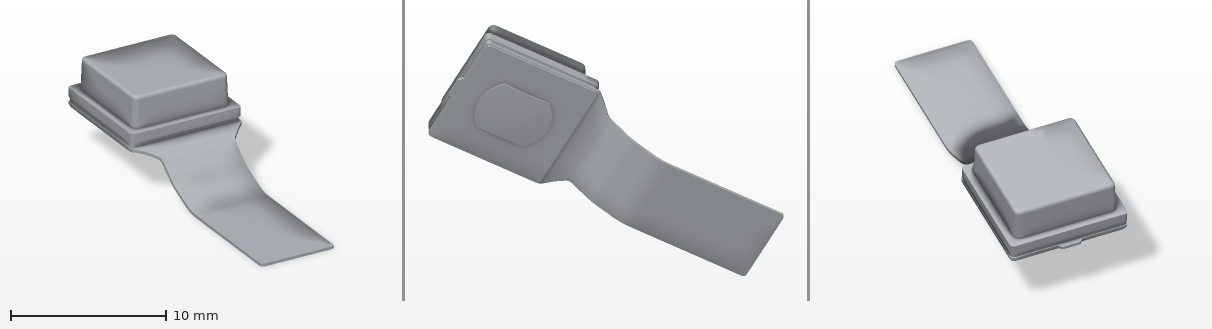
import cadquery as cq
import math


overall_height = 6.07
flex_thickness = 0.2
plate_top = 2.6
plate_thickness = 0.14
flex_top = plate_top + flex_thickness
neck_height = 0.35
flange_bottom = flex_top + neck_height
flange_thickness = 0.68
flange_top = flange_bottom + flange_thickness

flange_length = 8.25
flange_width = 8.2
flange_offset = 0.02
corner_radius = 0.27
neck_size = 8.07
key_base_size = 7.2
key_base_radius = 0.48
key_taper = 2.4
key_top_fillet = 0.25

pad_left = flange_offset - flange_length / 2
pad_right = flange_offset + flange_length / 2
tab_length = 0.27
tab_base_width = 1.75
tail_width = 5.45
tail_corner_radius = 0.27
shoulder_fillet = 0.5
overall_length = 22.75
tab_tip = pad_left - tab_length
tail_end = tab_tip + overall_length

steep_angle = 39.0
shallow_angle = 23.5
first_bend_radius = 2.65
later_bend_radius = 3.0
shallow_length = 1.35

dome_diameter = 5.0
dome_width = 3.77
dome_thickness = 0.08
dome_rise = 0.148


def make_button():
    """Neck, flange and tapered key with rounded edges."""
    neck = (
        cq.Workplane("XY", origin=(0, 0, flex_top))
        .rect(neck_size, neck_size)
        .extrude(neck_height)
        .edges("|Z")
        .fillet(corner_radius)
    )
    flange = (
        cq.Workplane("XY", origin=(flange_offset, 0, flange_bottom))
        .rect(flange_length, flange_width)
        .extrude(flange_thickness)
        .edges("|Z")
        .fillet(corner_radius)
    )
    key_outline = cq.Sketch().rect(key_base_size, key_base_size).vertices().fillet(key_base_radius)
    key = (
        cq.Workplane("XY", origin=(0, 0, flange_top))
        .placeSketch(key_outline)
        .extrude(overall_height - flange_top, taper=key_taper)
        .faces(">Z")
        .edges()
        .fillet(key_top_fillet)
    )
    return neck.union(flange).union(key)


def bend_step(radius, start_angle, end_angle):
    """Run and drop along an arc whose downward angle changes from start to end, in degrees."""
    start = math.radians(start_angle)
    end = math.radians(end_angle)
    run = radius * abs(math.sin(end) - math.sin(start))
    drop = radius * abs(math.cos(end) - math.cos(start))
    return run, drop


def slope_step(length, angle):
    """Run and drop along a straight stretch that points down by an angle in degrees."""
    return length * math.cos(math.radians(angle)), length * math.sin(math.radians(angle))


def flex_stations():
    """Middle-surface points (x, z, downward angle): line ends, with each arc as middle and end."""
    bends = [
        (first_bend_radius, 0, steep_angle),
        (later_bend_radius, steep_angle, shallow_angle),
        (later_bend_radius, shallow_angle, 0),
    ]
    bend_drops = sum(bend_step(*bend)[1] for bend in bends)
    shallow_drop = slope_step(shallow_length, shallow_angle)[1]
    steep_drop = plate_top - bend_drops - shallow_drop
    steep_length = steep_drop / math.sin(math.radians(steep_angle))
    lengths_before_bends = [pad_right - tab_tip, steep_length, shallow_length]

    x = tab_tip
    z = flex_top - flex_thickness / 2
    stations = [(x, z, 0)]
    for length, (radius, start_angle, end_angle) in zip(lengths_before_bends, bends):
        run, drop = slope_step(length, start_angle)
        x += run
        z -= drop
        stations.append((x, z, start_angle))
        middle_angle = (start_angle + end_angle) / 2
        for from_angle, to_angle in [(start_angle, middle_angle), (middle_angle, end_angle)]:
            run, drop = bend_step(radius, from_angle, to_angle)
            x += run
            z -= drop
            stations.append((x, z, to_angle))
    stations.append((tail_end, z, 0))
    return stations


def flex_surface(stations, offset):
    """Points of the middle surface moved along its normal."""
    points = []
    for x, z, angle in stations:
        tilt = math.radians(angle)
        points.append((x + offset * math.sin(tilt), z + offset * math.cos(tilt)))
    return points


def trace_surface(profile, points):
    """Draw line, arc, line, arc, ... line through one side of the flex."""
    for index in range(1, len(points) - 1, 3):
        line_end, arc_middle, arc_end = points[index : index + 3]
        profile = profile.lineTo(*line_end).threePointArc(arc_middle, arc_end)
    return profile.lineTo(*points[-1])


def flex_outline():
    """Flat outline of the flex as a tall block: pad, tapered shoulders, tail and locating tab."""
    pad_half = flange_width / 2
    tail_half = tail_width / 2
    shoulder_end = pad_right + pad_half - tail_half
    pad_and_tail = (
        cq.Workplane("XY")
        .moveTo(pad_left, -pad_half)
        .lineTo(pad_right, -pad_half)
        .lineTo(shoulder_end, -tail_half)
        .lineTo(tail_end, -tail_half)
        .lineTo(tail_end, tail_half)
        .lineTo(shoulder_end, tail_half)
        .lineTo(pad_right, pad_half)
        .lineTo(pad_left, pad_half)
        .close()
        .extrude(flex_top)
    )
    shoulders = cq.selectors.BoxSelector(
        (pad_right - corner_radius, -flange_width, 0),
        (shoulder_end + corner_radius, flange_width, flex_top),
    )
    pad_and_tail = (
        pad_and_tail.edges(shoulders)
        .edges("|Z")
        .fillet(shoulder_fillet)
        .edges("<X and |Z")
        .fillet(corner_radius)
        .edges(">X and |Z")
        .fillet(tail_corner_radius)
    )
    tab_base_half = tab_base_width / 2
    tab_tip_half = tab_base_half - tab_length
    tab = (
        cq.Workplane("XY")
        .moveTo(pad_left, -tab_base_half)
        .lineTo(pad_left, tab_base_half)
        .lineTo(tab_tip, tab_tip_half)
        .lineTo(tab_tip, -tab_tip_half)
        .close()
        .extrude(flex_top)
    )
    return pad_and_tail.union(tab)


def make_flex():
    """Constant-thickness band along the bent path, trimmed to the flat outline."""
    stations = flex_stations()
    upper = flex_surface(stations, flex_thickness / 2)
    lower = flex_surface(stations, -flex_thickness / 2)[::-1]
    profile = trace_surface(cq.Workplane("XZ").moveTo(*upper[0]), upper).lineTo(*lower[0])
    band = trace_surface(profile, lower).close().extrude(flange_width / 2, both=True)

    return band.intersect(flex_outline())


def make_plate():
    """Stiffener plate under the pad of the flex."""
    return (
        cq.Workplane("XY", origin=(0, 0, plate_top - plate_thickness))
        .rect(neck_size, neck_size)
        .extrude(plate_thickness)
        .edges("|Z")
        .fillet(corner_radius)
    )


def make_dome():
    """Downward-bulging spherical shell whose rim touches the underside of the plate."""
    rim_radius = dome_diameter / 2
    rim_z = plate_top - plate_thickness
    inner_radius = (rim_radius**2 + dome_rise**2) / (2 * dome_rise)
    inner_low = rim_z - dome_rise
    outer_low = inner_low - dome_thickness
    centre_z = inner_low + inner_radius
    outer_radius = inner_radius + dome_thickness

    def point_on_sphere(radius, distance):
        """Point at a distance from the axis on the lower half of a sphere of the shell."""
        return distance, centre_z - math.sqrt(radius**2 - distance**2)

    half_section = (
        cq.Workplane("XZ")
        .moveTo(0, outer_low)
        .threePointArc(
            point_on_sphere(outer_radius, rim_radius / 2),
            point_on_sphere(outer_radius, rim_radius),
        )
        .lineTo(rim_radius, rim_z)
        .threePointArc(point_on_sphere(inner_radius, rim_radius / 2), (0, inner_low))
        .close()
    )
    shell = half_section.revolve(360, (0, 0, 0), (0, 1, 0))
    trim = cq.Workplane("XY").box(dome_diameter, dome_width, 2 * overall_height)
    return shell.intersect(trim)


button = make_button()
flex = make_flex()
plate = make_plate()
dome = make_dome()

result = cq.Compound.makeCompound([button.val(), flex.val(), plate.val(), dome.val()])